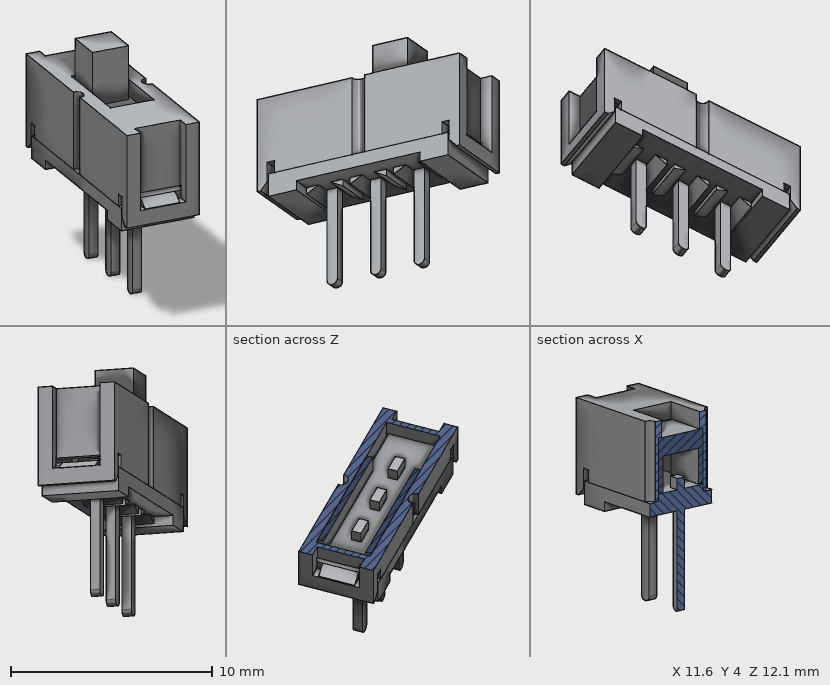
import cadquery as cq


housing_length = 11.6
housing_width = 4.0
housing_bottom = 0.4
housing_top = 5.4
end_wall_outer_x = 5.15
cavity_half_length = 4.81
cavity_half_width = 1.42
roof_thickness = 0.9
slot_length = 4.5
slot_width = 2.4
channel_width = 2.5
clip_inner_x = 5.22
clip_chamfer_run = 0.38
clip_chamfer_rise = 0.4
notch_top = 1.87
groove_width = 0.74
groove_depth = 0.36
groove_corner_radius = 0.33

base_length = 10.3
plate_bottom = 0.5
plate_top = 1.22
foot_length = 1.6
block_top = 1.61
block_width = 2 * cavity_half_width
latch_width = 1.92
latch_reach = 5.73
ramp_start = 0.34
ramp_end = 1.04
ramp_depth = 0.35
ramp_width = 2.0

terminal_pitch = 2.5
terminal_width = 0.6
terminal_thickness = 0.5
terminal_bottom = -4.7
contact_top = 2.2
contact_width = 1.0
terminal_tip_radius = 0.28

knob_size = 2.0
knob_top = 7.4
slider_width = 2 * cavity_half_width
slider_length = 6.78
slider_plate_thickness = 1.0
skirt_thickness = 0.3
skirt_clearance = 0.04

cavity_top = housing_top - roof_thickness
slider_x = (knob_size - slot_length) / 2
terminal_positions = [i * terminal_pitch for i in (-1, 0, 1)]
both_ends = (-1, 1)
both_sides = (-1, 1)


def box(x_size, y_size, z_low, z_high, x=0, y=0):
    """Box centred at (x, y) between two heights."""
    return (
        cq.Workplane("XY")
        .box(x_size, y_size, z_high - z_low, centered=(True, True, False))
        .translate((x, y, z_low))
    )


def span_box(x_start, x_end, y_size, z_low, z_high):
    """Box between two X values, centred on Y."""
    return box(abs(x_end - x_start), y_size, z_low, z_high, x=(x_start + x_end) / 2)


def prism(points, width):
    """XZ outline extruded symmetrically about Y = 0."""
    return cq.Workplane("XZ").polyline(points).close().extrude(width / 2, both=True)


def side_groove(side):
    """Upright rounded groove in the middle of one long side."""
    return (
        box(groove_width, 2 * groove_depth, plate_top, housing_top, y=side * housing_width / 2)
        .edges("|Z")
        .fillet(groove_corner_radius)
    )


def make_housing():
    half_length = housing_length / 2
    body = box(housing_length, housing_width, plate_top, housing_top)
    body = body.cut(box(2 * cavity_half_length, 2 * cavity_half_width, plate_top, cavity_top))
    body = body.cut(box(slot_length, slot_width, cavity_top, housing_top))
    for end in both_ends:
        body = body.cut(
            span_box(end * cavity_half_length, end * clip_inner_x, housing_width, plate_top, notch_top)
        )
        body = body.cut(
            span_box(end * end_wall_outer_x, end * half_length, channel_width, plate_top, housing_top)
        )
        clip_bar = prism(
            [
                (end * half_length, plate_top),
                (end * half_length, housing_bottom),
                (end * (clip_inner_x + clip_chamfer_run), housing_bottom),
                (end * clip_inner_x, housing_bottom + clip_chamfer_rise),
                (end * clip_inner_x, plate_top),
            ],
            housing_width,
        )
        body = body.union(clip_bar)
    for side in both_sides:
        body = body.cut(side_groove(side))
    return body


def make_terminal(x):
    leg = (
        box(terminal_width, terminal_thickness, terminal_bottom, block_top, x=x)
        .edges("|Y and <Z")
        .fillet(terminal_tip_radius)
    )
    return leg.union(box(contact_width, terminal_thickness, block_top, contact_top, x=x))


def make_ramp(x, side):
    """Wedge under the base plate that deepens away from a terminal."""
    return prism(
        [
            (x + side * ramp_start, plate_bottom),
            (x + side * ramp_end, plate_bottom),
            (x + side * ramp_end, plate_bottom - ramp_depth),
        ],
        ramp_width,
    )


def make_base():
    half_length = base_length / 2
    body = box(base_length, housing_width, plate_bottom, plate_top)
    body = body.union(box(base_length, block_width, plate_top, block_top))
    for end in both_ends:
        foot_inner_x = half_length - foot_length
        foot = span_box(end * foot_inner_x, end * half_length, housing_width, 0, plate_bottom)
        latch = prism(
            [
                (end * half_length, plate_top),
                (end * latch_reach, plate_top),
                (end * half_length, block_top),
            ],
            latch_width,
        )
        body = body.union(foot).union(latch)
    for x in terminal_positions:
        body = body.union(make_terminal(x))
        for side in both_sides:
            body = body.union(make_ramp(x, side))
    return body


def make_slider():
    """Knob on an inverted channel whose skirts hang down beside the terminals."""
    skirt_bottom = block_top + skirt_clearance
    plate_underside = cavity_top - slider_plate_thickness
    body = box(slider_length, slider_width, skirt_bottom, cavity_top, x=slider_x)
    hollow_width = slider_width - 2 * skirt_thickness
    body = body.cut(box(slider_length, hollow_width, skirt_bottom, plate_underside, x=slider_x))
    return body.union(box(knob_size, knob_size, cavity_top, knob_top, x=slider_x))


housing = make_housing()
base = make_base()
slider = make_slider()

result = cq.Compound.makeCompound(
    [*housing.solids().vals(), *base.solids().vals(), *slider.solids().vals()]
)